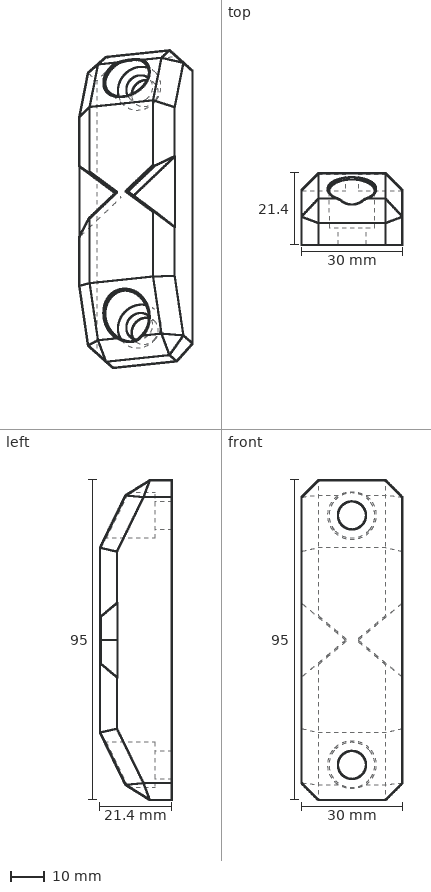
import cadquery as cq
import math

width = 30.0
thickness = 21.4
length = 95.0
half_width = width / 2
half_length = length / 2

flat_half_length = 27.5
end_thickness = 11.6
edge_chamfer = 5.0

screw_z = 37.05
screw_diameter = 8.3
head_diameter = 13.5
head_seat_y = 5.0
head_rim_chamfer = 0.5

notch_half_height = 11.0
notch_length = 13.1
notch_floor_y = 16.15
notch_chamfer = 0.4


def cut_facet(body, first, second, third):
    """Cut away everything outside the plane through three points."""
    along = second - first
    normal = along.cross(third - first)
    middle = cq.Vector(0, thickness / 2, 0)
    if normal.dot(first - middle) < 0:
        normal = -normal
    plane = cq.Plane(origin=first, xDir=along, normal=normal)
    return body.cut(cq.Workplane(plane).rect(3 * length, 3 * length).extrude(length))


def make_body():
    """Block with sloping ends, bevelled all round except along the mounting face."""
    slope = (thickness - end_thickness) / (half_length - flat_half_length)
    slope_stretch = math.hypot(1, slope)
    inset_x = half_width - edge_chamfer
    inset_z = half_length - edge_chamfer
    end_edge_y = end_thickness - edge_chamfer
    slope_end_z = half_length - edge_chamfer / slope_stretch
    slope_end_y = end_thickness + slope * (half_length - slope_end_z)
    side_corner_y = end_thickness + slope * edge_chamfer - edge_chamfer * slope_stretch

    body = cq.Workplane("XY").box(width, thickness, length, centered=(True, False, True))
    for end in (-1, 1):
        for side in (-1, 1):
            end_foot = cq.Vector(side * inset_x, 0, end * half_length)
            end_top = cq.Vector(side * inset_x, end_edge_y, end * half_length)
            slope_top = cq.Vector(side * inset_x, slope_end_y, end * slope_end_z)
            crease = cq.Vector(side * inset_x, thickness, end * flat_half_length)
            flat_middle = cq.Vector(side * inset_x, thickness, 0)
            side_corner = cq.Vector(side * half_width, side_corner_y, end * inset_z)
            side_middle = cq.Vector(side * half_width, thickness - edge_chamfer, 0)
            mirrored_slope_top = cq.Vector(-side * inset_x, slope_end_y, end * slope_end_z)

            body = cut_facet(body, slope_top, mirrored_slope_top, crease)
            body = cut_facet(body, slope_top, mirrored_slope_top, end_top)
            body = cut_facet(body, end_foot, end_top, side_corner)
            body = cut_facet(body, flat_middle, crease, side_middle)
            body = cut_facet(body, crease, slope_top, side_corner)
            body = cut_facet(body, end_top, slope_top, side_corner)
    return body


def make_notch(side):
    """V-shaped cutter tapering inward from one long side (side = -1 or 1)."""
    side_x = side * half_width
    apex_x = side * (half_width - notch_length)
    return (
        cq.Workplane("XZ", origin=(0, notch_floor_y, 0))
        .polyline([(apex_x, 0), (side_x, notch_half_height), (side_x, -notch_half_height)])
        .close()
        .extrude(-thickness)
    )


def cut_notches(body):
    """Cut a notch in both sides and ease its rim on the flat face."""
    for side in (-1, 1):
        body = body.cut(make_notch(side))
    return body.faces(">Y").edges("not (|X or |Z)").chamfer(notch_chamfer)


def cut_screw_holes(body):
    """Cut the stepped screw holes and ease the rim of each head bore."""
    for z in (-screw_z, screw_z):
        plane = cq.Workplane("XZ", origin=(0, 0, z))
        body = body.cut(plane.circle(screw_diameter / 2).extrude(-thickness))
        head = plane.workplane(offset=-head_seat_y).circle(head_diameter / 2).extrude(-thickness)
        body = body.cut(head)
    rims = body.faces("%CYLINDER").edges().filter(
        lambda edge: edge.geomType() == "ELLIPSE"
    )
    return rims.chamfer(head_rim_chamfer)


result = cut_screw_holes(cut_notches(make_body()))